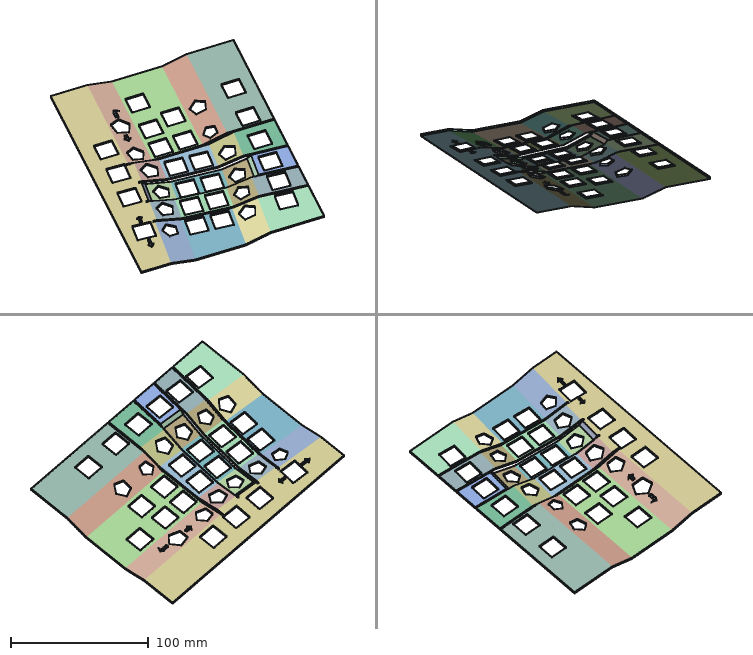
import cadquery as cq
import math


plate_width = 179.2
plate_depth = 142.7
total_height = 9.9
sheet = 1.5

trough_depth = 5.4
rail_depth = 0.99
flat_length = 39.0
ramp_length = 19.2
extra_drop = total_height - sheet - trough_depth

slit_width = 1.0
key_hole = 14.0
key_pitch = 19.0

half_width = plate_width / 2
half_depth = plate_depth / 2
reach = 2 * plate_width

side_slit = (-9.0, 0, -44.3)
finger_slits = [(12.9, 4, -41.8), (32.6, 5, -43.4), (52.2, 5, -45.7)]
slits = [side_slit] + finger_slits

columns = [
    (-44.8, -4.1, 0, 0),
    (3.2, -0.4, 4, 0),
    (23.1, 0.5, 5, extra_drop),
    (42.0, -3.5, 5, 0),
    (60.8, -6.8, 5, 0),
]
finger_columns = columns[1:]

back_key_y = 54.5
inner_key_x = -18.5
side_key_y = (5.5, -13.6)
plain_keys = [
    (-47.0, back_key_y, 0), (inner_key_x, back_key_y, 0), (5.2, back_key_y, 0),
    (27.0, 54.0, 2.5), (46.6, 52.9, 4), (65.8, 51.3, 5),
    (-42.1, side_key_y[0], 0), (inner_key_x, side_key_y[0], 0),
    (-63.8, side_key_y[1], 0), (-37.5, side_key_y[1], 0), (inner_key_x, side_key_y[1], 0),
    (-27.5, -52.5, 0), (-3.4, -52.5, 2), (20.5, -53.2, 2), (54.1, -55.2, 4),
]

pentagons = [
    (-42.1, 25.1, 6.5, 181), (-17.2, 24.5, 5.5, 268),
    (5.7, 29.2, 6.6, 180), (25.8, 29.0, 6.5, 180), (44.8, 25.0, 6.1, 184), (63.6, 21.9, 6.6, 178),
    (-45.7, -33.9, 7.5, 101), (-17.5, -33.3, 6.6, 175),
    (20.5, -28.1, 6.5, 182), (0.9, -29.5, 7.0, 181), (38.9, -32.6, 6.6, 178), (58.8, -36.5, 6.1, 190),
]

arrows = [
    (-55.2, -33.0, 180, 7.0, 1.5, 2.2, 1.0, 3.8),
    (-36.7, -33.7, 0, 5.5, 2.2, 2.2, 2.5, 2.5),
    (45.7, -54.1, 176, 5.5, 1.5, 1.6, 2.2, 2.2),
    (62.0, -54.8, -4, 8.2, 2.7, 1.6, 2.2, 2.2),
]


def place(body, x, y, turn):
    """Turn a body counter-clockwise about Z, then move it to (x, y)."""
    return body.rotate((0, 0, 0), (0, 0, 1), turn).translate((x, y, 0))


def lower_side(top):
    """Offset an open (y, z) bend line downwards by the sheet thickness, with mitred bends."""
    slopes = [math.atan2(b[1] - a[1], b[0] - a[0]) for a, b in zip(top, top[1:])]
    before = slopes[:1] + slopes
    after = slopes + slopes[-1:]
    points = []
    for (y, z), first, second in zip(top, before, after):
        middle = (first + second) / 2
        mitre = sheet / math.cos((second - first) / 2)
        points.append((y + mitre * math.sin(middle), z - mitre * math.cos(middle)))
    return points


def bent_sheet(x, y, tilt, drop):
    """Endless bent strip, its trough centred on (x, y) and turned clockwise by tilt."""
    floor_end = flat_length / 2
    ramp_end = floor_end + ramp_length
    front = [(-reach, -rail_depth), (-ramp_end - drop, -rail_depth)]
    trough = [(-floor_end, -trough_depth - drop), (floor_end, -trough_depth - drop)]
    back = [(ramp_end + drop, 0), (reach, 0)]
    if drop:
        front.append((-ramp_end, -rail_depth - drop))
        back.insert(0, (ramp_end, -drop))
    top = front + trough + back
    section = top + lower_side(top)[::-1]
    strip = cq.Workplane("YZ").polyline(section).close().extrude(reach / 2, both=True)
    return place(strip, x, y, -tilt)


def through_cut(outline):
    """Tall prism on a closed plan outline."""
    return outline.extrude(plate_width, both=True)


def slit_x(slit, y):
    """X of a slit's centre line at a given y."""
    return slit[0] + y * math.tan(math.radians(slit[1]))


def column_area(left, right):
    """Tall prism over the part of the plate between two slit lines."""
    corners = [
        (slit_x(left, -half_depth), -half_depth),
        (slit_x(right, -half_depth), -half_depth),
        (slit_x(right, half_depth), half_depth),
        (slit_x(left, half_depth), half_depth),
    ]
    return through_cut(cq.Workplane().polyline(corners).close())


def slit_cut(slit):
    """Parallel-sided slit from its front end out through the back edge."""
    end_y = slit[2]
    bar = cq.Workplane().center(0, reach / 2).rect(slit_width, reach)
    return place(through_cut(bar), slit_x(slit, end_y), end_y, -slit[1])


def key_cut(x, y, tilt):
    square = through_cut(cq.Workplane().rect(key_hole, key_hole))
    return place(square, x, y, -tilt)


def pentagon_cut(x, y, radius, direction):
    pentagon = through_cut(cq.Workplane().polygon(5, 2 * radius))
    return place(pentagon, x, y, direction)


def arrow_cut(x, y, direction, length, head, shaft, left_barb, right_barb):
    neck = length - head
    outline = [
        (0, -shaft / 2), (neck, -shaft / 2), (neck, -right_barb), (length, 0),
        (neck, left_barb), (neck, shaft / 2), (0, shaft / 2),
    ]
    if left_barb <= shaft / 2:
        outline.remove((neck, left_barb))
    arrow = through_cut(cq.Workplane().polyline(outline).close())
    return place(arrow, x, y, direction)


edges = [(-half_width, 0)] + slits + [(half_width, 0)]
result = cq.Workplane()
for column, left, right in zip(columns, edges, edges[1:]):
    result = result.add(bent_sheet(*column).intersect(column_area(left, right)))
result = result.combine()

for slit in slits:
    result = result.cut(slit_cut(slit))

for key in plain_keys:
    result = result.cut(key_cut(*key))

for x, y, tilt, _ in finger_columns:
    lean = math.radians(tilt)
    for along in (-key_pitch / 2, key_pitch / 2):
        result = result.cut(key_cut(x + along * math.sin(lean), y + along * math.cos(lean), tilt))

for pentagon in pentagons:
    result = result.cut(pentagon_cut(*pentagon))

for arrow in arrows:
    result = result.cut(arrow_cut(*arrow))

result = result.clean()